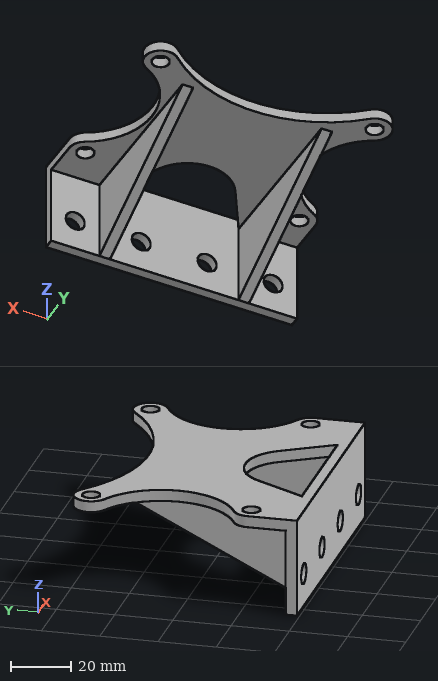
import cadquery as cq
import math

width = 92.0
depth = 78.2
height = 34.0
thickness = 4.0

lobe_radius = 6.0
plate_hole_diameter = 6.0
plate_hole_spacing_y = 55.0
hole_x = width / 2 - lobe_radius
rear_hole_y = depth - lobe_radius
front_hole_y = rear_hole_y - plate_hole_spacing_y
middle_y = (rear_hole_y + front_hole_y) / 2

waist_half_width = 29.3
rear_edge_y = 62.65

opening_half_width = 24.0
opening_radius = 16.0
opening_top_y = 29.4

wall_hole_diameter = 7.0
wall_hole_spacing = 24.7
wall_hole_count = 4
wall_hole_z = -22.4

rib_end_y = 64.7


def tangent_radius(along, across):
    """Radius of a concave arc tangent to two lobes.

    along: half the distance between the lobe centres.
    across: distance of the arc's deepest point inward from the lobe centres.
    """
    return (along**2 + across**2 - lobe_radius**2) / (2 * (lobe_radius + across))


def lobe_tangent_point(lobe, arc_center):
    """Point where a lobe touches the arc around arc_center."""
    dx = arc_center[0] - lobe[0]
    dy = arc_center[1] - lobe[1]
    distance = math.hypot(dx, dy)
    return (lobe[0] + lobe_radius * dx / distance, lobe[1] + lobe_radius * dy / distance)


def mirrored(point):
    return (-point[0], point[1])


def make_plate():
    rear_lobe = (hole_x, rear_hole_y)
    front_lobe = (hole_x, front_hole_y)
    side_radius = tangent_radius(plate_hole_spacing_y / 2, hole_x - waist_half_width)
    side_center = (waist_half_width + side_radius, middle_y)
    rear_radius = tangent_radius(hole_x, rear_hole_y - rear_edge_y)
    rear_center = (0, rear_edge_y + rear_radius)

    front_join = lobe_tangent_point(front_lobe, side_center)
    side_join = lobe_tangent_point(rear_lobe, side_center)
    rear_join = lobe_tangent_point(rear_lobe, rear_center)
    front_start = (width / 2, front_hole_y)
    front_angle = math.atan2(front_join[1] - front_hole_y, front_join[0] - hole_x) / 2
    front_mid = (
        hole_x + lobe_radius * math.cos(front_angle),
        front_hole_y + lobe_radius * math.sin(front_angle),
    )
    diagonal = lobe_radius * math.sqrt(0.5)
    rear_mid = (hole_x + diagonal, rear_hole_y + diagonal)
    waist = (waist_half_width, middle_y)

    outline = (
        cq.Workplane("XY")
        .moveTo(-width / 2, 0)
        .lineTo(width / 2, 0)
        .lineTo(*front_start)
        .threePointArc(front_mid, front_join)
        .threePointArc(waist, side_join)
        .threePointArc(rear_mid, rear_join)
        .threePointArc((0, rear_edge_y), mirrored(rear_join))
        .threePointArc(mirrored(rear_mid), mirrored(side_join))
        .threePointArc(mirrored(waist), mirrored(front_join))
        .threePointArc(mirrored(front_mid), mirrored(front_start))
        .close()
    )
    holes = (
        cq.Workplane("XY")
        .pushPoints([(x, y) for x in (-hole_x, hole_x) for y in (front_hole_y, rear_hole_y)])
        .circle(plate_hole_diameter / 2)
        .extrude(-thickness)
    )
    return outline.extrude(-thickness).cut(holes).cut(make_opening())


def make_opening():
    center_y = opening_top_y - opening_radius
    rise = center_y - thickness
    side_angle = math.atan2(rise, opening_half_width) + math.asin(
        opening_radius / math.hypot(rise, opening_half_width)
    )
    tangent = (
        opening_radius * math.sin(side_angle),
        center_y + opening_radius * math.cos(side_angle),
    )
    return (
        cq.Workplane("XY")
        .moveTo(-opening_half_width, thickness)
        .lineTo(opening_half_width, thickness)
        .lineTo(*tangent)
        .threePointArc((0, opening_top_y), mirrored(tangent))
        .close()
        .extrude(-thickness)
    )


def make_wall():
    wall = cq.Workplane("XY").box(width, thickness, height, centered=(True, False, False))
    wall = wall.translate((0, 0, -height))
    first_x = -wall_hole_spacing * (wall_hole_count - 1) / 2
    holes = (
        cq.Workplane("XZ")
        .pushPoints([(first_x + i * wall_hole_spacing, wall_hole_z) for i in range(wall_hole_count)])
        .circle(wall_hole_diameter / 2)
        .extrude(-thickness)
    )
    return wall.cut(holes)


def make_rib(start_x):
    """Triangular rib under the plate, from start_x toward +X."""
    return (
        cq.Workplane("YZ", origin=(start_x, 0, 0))
        .polyline([(thickness, -thickness), (rib_end_y, -thickness), (thickness, -height)])
        .close()
        .extrude(thickness)
    )


result = make_plate().union(make_wall())
for rib_start_x in (-opening_half_width - thickness, opening_half_width):
    result = result.union(make_rib(rib_start_x))